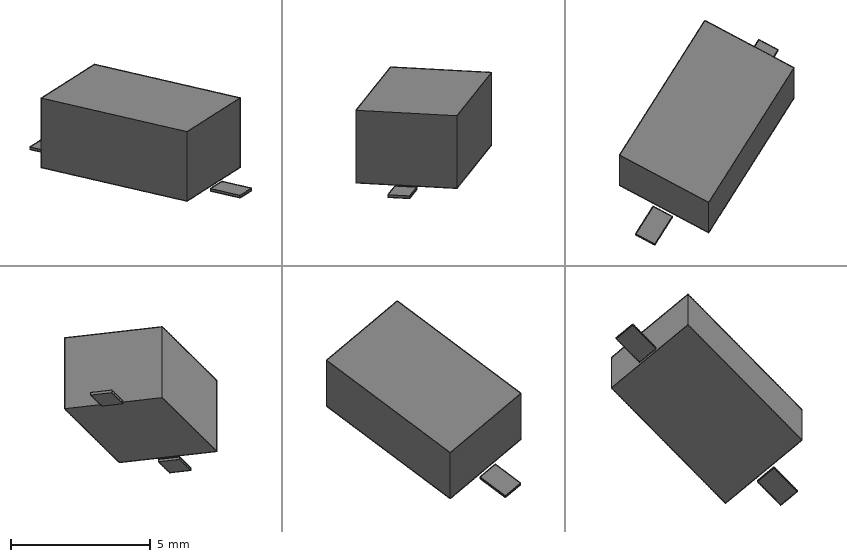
import cadquery as cq

housing_length = 6.1
housing_width = 3.7
housing_height = 2.7

overall_length = 8.8
pad_length = 1.25
pad_width = 0.8
pad_thickness = 0.1
pad_offset = (overall_length - pad_length) / 2


def make_housing():
    """Block centred in X and Y, standing on the plane of the pads' upper faces."""
    return cq.Workplane("XY").workplane(offset=pad_thickness).box(
        housing_length, housing_width, housing_height, centered=(True, True, False)
    )


def make_pad(center_x):
    """Thin rectangular plate lying on the base plane."""
    return (
        cq.Workplane("XY")
        .box(pad_length, pad_width, pad_thickness, centered=(True, True, False))
        .translate((center_x, 0, 0))
    )


housing = make_housing()
pads = [make_pad(side * pad_offset) for side in (-1, 1)]

result = cq.Compound.makeCompound([housing.val(), *[pad.val() for pad in pads]])